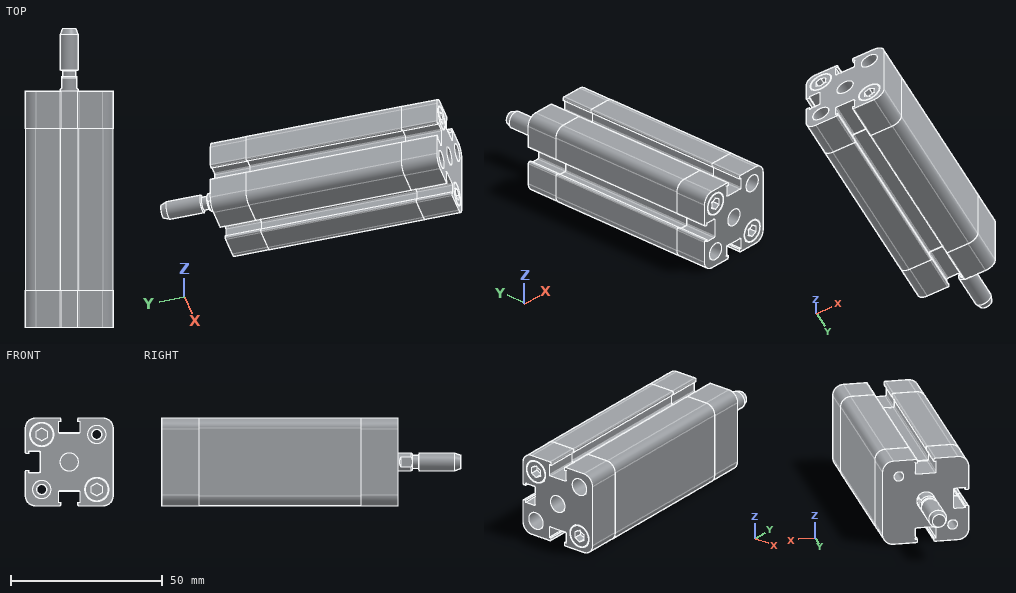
import cadquery as cq
import math

total_length = 98.5
side = 29.1
body_length = 77.8
cap_length = 12.2
rod_reach = total_length - body_length

tube_inset = 0.05
cap_corner_radius = 3.6
tube_corner_radius = 3.3

cap_opening = 5.5
tube_opening = 5.7
cap_slot_width = 7.0
tube_slot_width = 7.2
lip_thickness = 1.2
cap_slot_depth = 5.1
tube_slot_depth = 4.8
cap_lip_round = 0.5
tube_lip_round = 0.3
slot_floor_round = 0.4
slot_angles = (0, 90, 180)

hole_offset = 9.1
through_diameter = 3.25
counterbore_diameter = 6.0
counterbore_depth = 6.5
screw_bore_diameter = 8.0
screw_head_diameter = 7.5
screw_bore_depth = 3.9
hex_across_flats = 3.6
hex_depth = 3.0
center_bore_diameter = 6.0
center_bore_depth = 7.9

rod_diameter = 6.0
neck_diameter = 4.4
tip_diameter = 4.4
tip_length = 2.1
collar_length = 4.8
collar_chamfer = 0.5
thread_start = 7.0
thread_runout = 0.3
wrench_flats = 5.0
flats_start = 1.0


def plane_at(y):
    """Plane across the cylinder axis: local x is X, local y is Z, normal is -Y."""
    return cq.Workplane("XZ", origin=(0, y, 0))


def section(start, length, width, corner_radius, opening, slot_width, depth, lip_round):
    """Square length of the cylinder with rounded corners and three T-slots."""
    block = plane_at(start).rect(width, width).extrude(-length).edges("|Y").fillet(corner_radius)
    top = width / 2
    middle_y = start + length / 2
    groove_height = depth - lip_thickness
    groove = (
        cq.Workplane("XY")
        .box(slot_width, length, groove_height)
        .edges("|Y and <Z")
        .fillet(slot_floor_round)
        .translate((0, middle_y, top - depth + groove_height / 2))
    )
    half_opening = opening / 2
    mouth = (
        plane_at(start)
        .moveTo(-half_opening - lip_round, top)
        .radiusArc((-half_opening, top - lip_round), lip_round)
        .lineTo(-half_opening, top - lip_thickness)
        .lineTo(half_opening, top - lip_thickness)
        .lineTo(half_opening, top - lip_round)
        .radiusArc((half_opening + lip_round, top), lip_round)
        .close()
        .extrude(-length)
    )
    cutter = groove.union(mouth)
    for angle in slot_angles:
        block = block.cut(cutter.rotate((0, 0, 0), (0, 1, 0), -angle))
    return block


def cap(start):
    return section(
        start,
        cap_length,
        side,
        cap_corner_radius,
        cap_opening,
        cap_slot_width,
        cap_slot_depth,
        cap_lip_round,
    )


def tube():
    length = body_length - 2 * cap_length
    width = side - 2 * tube_inset
    depth = tube_slot_depth - tube_inset
    return section(
        cap_length,
        length,
        width,
        tube_corner_radius,
        tube_opening,
        tube_slot_width,
        depth,
        tube_lip_round,
    )


def rod():
    rod_radius = rod_diameter / 2
    neck_radius = neck_diameter / 2
    profile = [
        (0, 0),
        (rod_radius, 0),
        (rod_radius, collar_length - collar_chamfer),
        (rod_radius - collar_chamfer, collar_length),
        (neck_radius, collar_length),
        (neck_radius, thread_start - thread_runout),
        (rod_radius, thread_start),
        (rod_radius, rod_reach - tip_length),
        (tip_diameter / 2, rod_reach),
        (0, rod_reach),
    ]
    shaft = cq.Workplane("XY").polyline(profile).close().revolve(360, (0, 0), (0, 1))

    flat = wrench_flats / 2
    flat_depth = rod_radius - flat
    runout = [
        (flat, flats_start),
        (rod_radius, flats_start - flat_depth),
        (rod_radius, collar_length),
        (flat, collar_length),
    ]
    flat_cutter = cq.Workplane("XY").polyline(runout).close().extrude(rod_radius, both=True)
    shaft = shaft.cut(flat_cutter).cut(flat_cutter.mirror("YZ"))
    return shaft.translate((0, body_length, 0))


result = cap(0).union(tube()).union(cap(body_length - cap_length)).union(rod())

through_points = [(hole_offset, hole_offset), (-hole_offset, -hole_offset)]
through_holes = plane_at(0).pushPoints(through_points).circle(through_diameter / 2).extrude(-body_length)
counterbores = plane_at(0).pushPoints(through_points).circle(counterbore_diameter / 2).extrude(-counterbore_depth)
result = result.cut(through_holes).cut(counterbores)

screw_points = [(-hole_offset, hole_offset), (hole_offset, -hole_offset)]
clearance_rings = (
    plane_at(0)
    .pushPoints(screw_points)
    .circle(screw_bore_diameter / 2)
    .circle(screw_head_diameter / 2)
    .extrude(-screw_bore_depth)
)
hex_corner_diameter = hex_across_flats / math.cos(math.pi / 6)
hex_turn = 90
for x, z in screw_points:
    socket = plane_at(0).polygon(6, hex_corner_diameter).extrude(-hex_depth)
    socket = socket.rotate((0, 0, 0), (0, 1, 0), hex_turn)
    result = result.cut(socket.translate((x, 0, z)))
result = result.cut(clearance_rings)

center_bore = plane_at(0).circle(center_bore_diameter / 2).extrude(-center_bore_depth)
result = result.cut(center_bore)